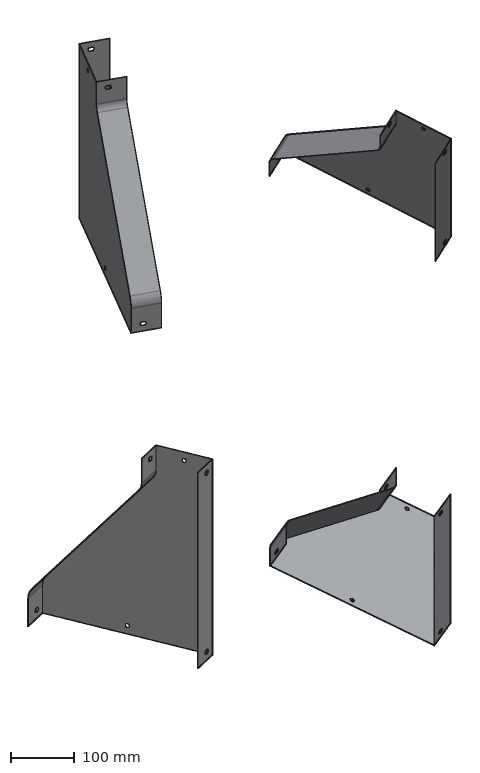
import cadquery as cq

width = 300.0
depth = 50.0
height = 350.0
sheet = 1.0

top_width = 100.0
upper_bend_drop = 52.0
lower_bend_height = 61.0
upper_bend_radius = 20.0
lower_bend_radius = 30.0

hole_diameter = 7.0
slot_length = 10.0
end_distance = 15.0
slot_setback = 20.0
low_hole_z = end_distance
high_hole_z = height - end_distance


def solid_profile():
    """Full-depth block with the outline of the front panel."""
    block = (
        cq.Workplane("XZ")
        .polyline([
            (0, 0),
            (width, 0),
            (width, lower_bend_height),
            (top_width, height - upper_bend_drop),
            (top_width, height),
            (0, height),
        ])
        .close()
        .extrude(-depth)
    )
    upper_corner = cq.NearestToPointSelector((top_width, depth / 2, height - upper_bend_drop))
    lower_corner = cq.NearestToPointSelector((width, depth / 2, lower_bend_height))
    block = block.edges("|Y").edges(upper_corner).fillet(upper_bend_radius)
    return block.edges("|Y").edges(lower_corner).fillet(lower_bend_radius)


def folded_sheet():
    """Front panel with a flange on each side; top, bottom and back stay open."""
    return solid_profile().faces(">Y or >Z or <Z").shell(-sheet)


def front_hole(x, z):
    return (
        cq.Workplane("XZ")
        .center(x, z)
        .circle(hole_diameter / 2)
        .extrude(-depth)
    )


def flange_slots(z):
    """Slot cutter crossing both side flanges at one height."""
    return (
        cq.Workplane("YZ")
        .center(slot_setback, z)
        .slot2D(slot_length, hole_diameter)
        .extrude(width)
    )


result = folded_sheet()
for end_width, hole_z in [(width, low_hole_z), (top_width, high_hole_z)]:
    result = result.cut(front_hole(end_width / 2, hole_z))
    result = result.cut(flange_slots(hole_z))